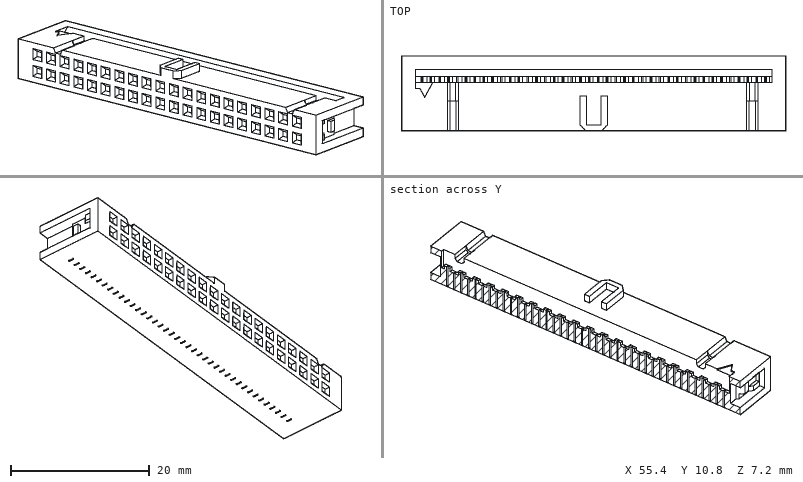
import cadquery as cq

LENGTH = 55.4
DEPTH = 10.8
HEIGHT = 7.2
KEY_HEIGHT = 1.15
BODY_HEIGHT = HEIGHT - KEY_HEIGHT

COLUMNS = 20
GRID_SPAN = 48.25
PITCH = GRID_SPAN / (COLUMNS - 1)
ROW_SPACING = 2.55
DIMPLE_SIZE = 1.65
DIMPLE_DEPTH = 0.45

SLOT_LENGTH = 51.4
SLOT_FRONT = 7.0
SLOT_BACK = 8.85
LEAD_IN = 1.05
STRIP_BACK = SLOT_BACK - LEAD_IN
STRIP_TOP = BODY_HEIGHT / 2
WIRE_PITCH = PITCH / 2
WIRE_COUNT = 2 * COLUMNS
WIRE_GAP = 0.15
RAISED_WIDTH = 1.1
RAISED_HEIGHT = 0.55

GROOVE_WIDTH = 1.6
GROOVE_FLOOR = 0.9
GROOVE_DEPTH = 0.7
GROOVE_STEP = 4.3
DEEP_WALL = 0.7
DEEP_BEVEL = 0.4
GROOVE_CENTRES = [(column + 0.5) * PITCH - GRID_SPAN / 2 for column in (1, COLUMNS - 2)]

KEY_WIDTH = 3.95
KEY_LENGTH = 5
KEY_ARM = 0.9
KEY_WEB = 0.85
KEY_CHAMFER = 0.85

MARK_DEPTH = 0.15
MARK_TIP = (-24.4, 4.8)
MARK_HALF_WIDTH = 1.15
MARK_STRIP_END = -24.95
MARK_STRIP_FRONT = 6.1

RECESS_FRONT = 1.5
RECESS_BOTTOM = 1.35
RECESS_TOP = 4.8
RECESS_DEPTH = 1.7
LATCH_RAMP_START = 6.15
LATCH_STEP = 0.35
LATCH_BOTTOM = 2.15
LATCH_TOP = 3.8
NUB_HEIGHT = 0.95
NUB_FRONT = 4.3
PAD_HEIGHT = 0.5
PAD_BACK = 3.5
PAD_WALL = 1.65


def block(x_range, y_range, z_range):
    """A box given by its two limits along each axis."""
    spans = [high - low for low, high in (x_range, y_range, z_range)]
    corner = (x_range[0], y_range[0], z_range[0])
    return cq.Workplane("XY").box(*spans, centered=False).translate(corner)


def housing():
    return block((-LENGTH / 2, LENGTH / 2), (0, DEPTH), (0, BODY_HEIGHT))


def contact_dimples():
    """Square funnels in the mating face, with 45 degree sides and a flat floor."""
    return (
        cq.Workplane("XZ", origin=(0, 0, BODY_HEIGHT / 2))
        .rarray(PITCH, ROW_SPACING, COLUMNS, 2)
        .rect(DIMPLE_SIZE, DIMPLE_SIZE)
        .extrude(-DIMPLE_DEPTH, taper=45)
    )


def cable_slot():
    """Slot with a 45 degree lead-in on its back wall."""
    return (
        cq.Workplane("YZ", origin=(-SLOT_LENGTH / 2, 0, 0))
        .moveTo(SLOT_FRONT, STRIP_TOP)
        .lineTo(SLOT_FRONT, BODY_HEIGHT)
        .lineTo(SLOT_BACK, BODY_HEIGHT)
        .lineTo(STRIP_BACK, BODY_HEIGHT - LEAD_IN)
        .lineTo(STRIP_BACK, STRIP_TOP)
        .close()
        .extrude(SLOT_LENGTH)
    )


def strip_row(pitch, count, centre_x, width, z_range):
    """A row of equal blocks along X that span the slot between the contact strip's walls."""
    bottom, top = z_range
    strip_centre = (SLOT_FRONT + STRIP_BACK) / 2
    return (
        cq.Workplane("XY", origin=(centre_x, strip_centre, bottom))
        .rarray(pitch, 0.55, count, 1)
        .rect(width, STRIP_BACK - SLOT_FRONT)
        .extrude(top - bottom)
    )


def raised_contacts():
    """Every second contact stands above the strip."""
    z_range = (STRIP_TOP, STRIP_TOP + RAISED_HEIGHT)
    return strip_row(PITCH, COLUMNS, WIRE_PITCH / 2, RAISED_WIDTH, z_range)


def wire_gaps():
    """One narrow gap per wire, through the contact strip and out of the bottom."""
    return strip_row(WIRE_PITCH, WIRE_COUNT, 0, WIRE_GAP, (0, STRIP_TOP + RAISED_HEIGHT))


def groove(centre):
    """Tapered groove from the mating face that turns into a deeper, bevelled one up to the slot."""
    top = BODY_HEIGHT
    half = GROOVE_WIDTH / 2
    half_floor = GROOVE_FLOOR / 2
    shallow = (
        cq.Workplane("XZ", origin=(centre, 0, top))
        .polyline([(-half, 0), (half, 0), (half_floor, -GROOVE_DEPTH), (-half_floor, -GROOVE_DEPTH)])
        .close()
        .extrude(-GROOVE_STEP)
    )
    deep_half = half - DEEP_BEVEL
    deep_floor = -DEEP_WALL - DEEP_BEVEL
    deep = (
        cq.Workplane("XZ", origin=(centre, GROOVE_STEP, top))
        .moveTo(-half, 0)
        .lineTo(half, 0)
        .lineTo(half, -DEEP_WALL)
        .lineTo(deep_half, deep_floor)
        .lineTo(-deep_half, deep_floor)
        .lineTo(-half, -DEEP_WALL)
        .close()
        .extrude(GROOVE_STEP - SLOT_FRONT)
    )
    return shallow.union(deep)


def first_contact_mark():
    """Shallow triangle whose base lies on the slot, with a short strip reaching the slot's end."""
    tip_x, tip_y = MARK_TIP
    floor = BODY_HEIGHT - MARK_DEPTH
    triangle = (
        cq.Workplane("XY", origin=(0, 0, floor))
        .moveTo(tip_x, tip_y)
        .lineTo(tip_x + MARK_HALF_WIDTH, SLOT_FRONT)
        .lineTo(tip_x - MARK_HALF_WIDTH, SLOT_FRONT)
        .close()
        .extrude(MARK_DEPTH)
    )
    strip = block((-SLOT_LENGTH / 2, MARK_STRIP_END), (MARK_STRIP_FRONT, SLOT_FRONT), (floor, BODY_HEIGHT))
    return triangle.union(strip)


def polarising_key():
    outer = (
        cq.Workplane("XY", origin=(0, KEY_LENGTH / 2, BODY_HEIGHT))
        .rect(KEY_WIDTH, KEY_LENGTH)
        .extrude(KEY_HEIGHT)
        .edges("|Z and <Y")
        .chamfer(KEY_CHAMFER)
    )
    half_opening = KEY_WIDTH / 2 - KEY_ARM
    opening = block((-half_opening, half_opening), (KEY_WEB, KEY_LENGTH), (BODY_HEIGHT, HEIGHT))
    return outer.cut(opening)


def ramped_step(floor, back, front, height, z_range):
    """Step rising outwards from an X floor in the left end, with a 45 degree ramp at its back."""
    bottom, top = z_range
    return (
        cq.Workplane("XY", origin=(0, 0, bottom))
        .moveTo(floor, back)
        .lineTo(floor - height, back - height)
        .lineTo(floor - height, front)
        .lineTo(floor, front)
        .close()
        .extrude(top - bottom)
    )


def latch_recess():
    """Recess in the left end, left round a raised floor, a latch nub and two stop pads."""
    full_height = (RECESS_BOTTOM, RECESS_TOP)
    latch_height = (LATCH_BOTTOM, LATCH_TOP)
    floor = -LENGTH / 2 + RECESS_DEPTH
    recess = block((-LENGTH / 2, floor), (RECESS_FRONT, DEPTH), full_height)
    raised_floor = ramped_step(floor, LATCH_RAMP_START, RECESS_FRONT, LATCH_STEP, full_height)
    nub = ramped_step(floor, LATCH_RAMP_START, NUB_FRONT, NUB_HEIGHT, latch_height)
    pads = ramped_step(floor - LATCH_STEP, PAD_BACK, RECESS_FRONT, PAD_HEIGHT, full_height)
    between_pads = block((-LENGTH / 2, floor), (PAD_WALL, PAD_BACK), latch_height)
    return recess.cut(raised_floor).cut(nub).cut(pads.cut(between_pads))


left_recess = latch_recess()
result = (
    housing()
    .cut(left_recess)
    .cut(left_recess.mirror("YZ"))
    .cut(contact_dimples())
    .cut(cable_slot())
    .union(raised_contacts())
    .cut(wire_gaps())
    .cut(first_contact_mark())
)
for groove_centre in GROOVE_CENTRES:
    result = result.cut(groove(groove_centre))
result = result.union(polarising_key())